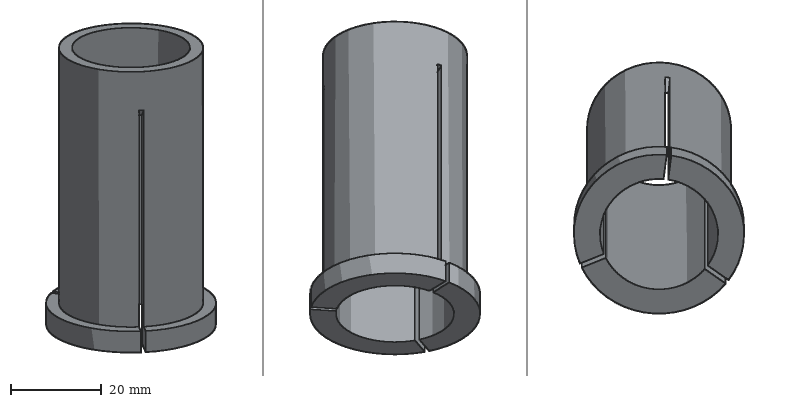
import cadquery as cq

total_height = 64.6
flange_diameter = 37.5
flange_height = 5.0
tube_diameter = 31.8
bore_diameter = 26.0
slot_width = 1.05
slot_top_outside = 55.55
slot_top_inside = 53.4
slot_count = 3
first_slot_angle = 90.0

flange = cq.Workplane("XY").circle(flange_diameter / 2).extrude(flange_height)
tube = cq.Workplane("XY").circle(tube_diameter / 2).extrude(total_height)
bore = cq.Workplane("XY").circle(bore_diameter / 2).extrude(total_height)
sleeve = flange.union(tube).cut(bore)


def radial_slot(angle):
    """Slot through one side of the wall, open at the flange end, its top sloping down toward the bore."""
    bore_radius = bore_diameter / 2
    tube_radius = tube_diameter / 2
    flange_radius = flange_diameter / 2
    profile = [
        (0, 0),
        (flange_radius, 0),
        (flange_radius, slot_top_outside),
        (tube_radius, slot_top_outside),
        (bore_radius, slot_top_inside),
        (0, slot_top_inside),
    ]
    slot = cq.Workplane("XZ").polyline(profile).close().extrude(slot_width / 2, both=True)
    return slot.rotate((0, 0, 0), (0, 0, 1), angle)


result = sleeve
for index in range(slot_count):
    result = result.cut(radial_slot(first_slot_angle + index * 360.0 / slot_count))